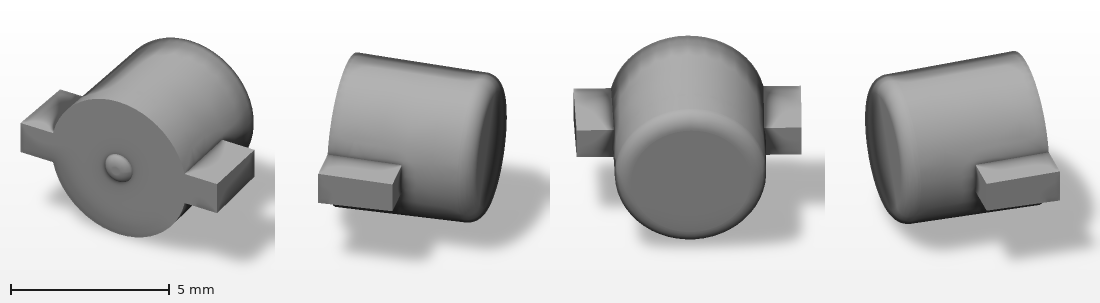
import cadquery as cq
import math


DRAFT_ANGLE = 1.0
BODY_BASE_RADIUS = 2.457
BODY_LENGTH = 4.7
BACK_EDGE_RADIUS = 0.5

TAB_BASE_SPAN = 7.16
TAB_BASE_HEIGHT = 1.08
TAB_LENGTH = 2.4

NIB_BASE_RADIUS = 0.5
NIB_TIP_RADIUS = 0.15
NIB_HEIGHT = 0.2


def make_body():
    """Drafted round plug with a rounded back edge."""
    plug = cq.Workplane("ZX").circle(BODY_BASE_RADIUS).extrude(BODY_LENGTH, taper=DRAFT_ANGLE)
    return plug.faces(">Y").edges().fillet(BACK_EDGE_RADIUS)


def make_tabs():
    """Drafted bar through the plug, whose two ends form the side tabs."""
    front_outline = cq.Workplane("ZX").rect(TAB_BASE_HEIGHT, TAB_BASE_SPAN)
    return front_outline.extrude(TAB_LENGTH, taper=DRAFT_ANGLE)


def make_nib():
    """Shallow dome on the front face; its arc runs tangent into a small flat tip."""
    arc_width = NIB_BASE_RADIUS - NIB_TIP_RADIUS
    arc_radius = (arc_width**2 + NIB_HEIGHT**2) / (2 * NIB_HEIGHT)
    half_sweep = math.asin(arc_width / arc_radius) / 2
    arc_middle = (
        NIB_TIP_RADIUS + arc_radius * math.sin(half_sweep),
        -NIB_HEIGHT + arc_radius * (1 - math.cos(half_sweep)),
    )
    return (
        cq.Workplane("XY")
        .moveTo(0, 0)
        .lineTo(NIB_BASE_RADIUS, 0)
        .threePointArc(arc_middle, (NIB_TIP_RADIUS, -NIB_HEIGHT))
        .lineTo(0, -NIB_HEIGHT)
        .close()
        .revolve(360, (0, 0, 0), (0, 1, 0))
    )


result = make_body().union(make_tabs()).union(make_nib())